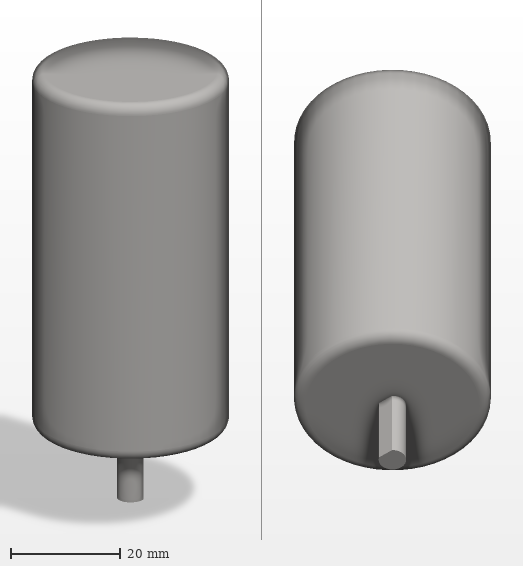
import cadquery as cq

total_height = 84.0
body_diameter = 36.0
body_height = 70.0
edge_radius = 2.0
shaft_diameter = 5.0
flat_depth = 0.5

shaft_length = total_height - body_height

body = (
    cq.Workplane("XY")
    .circle(body_diameter / 2)
    .extrude(body_height)
    .faces("<Z or >Z")
    .edges()
    .fillet(edge_radius)
)

shaft = cq.Workplane("XY").circle(shaft_diameter / 2).extrude(-shaft_length)
flat_cutter = (
    cq.Workplane("XY")
    .center(0, shaft_diameter / 2 - flat_depth / 2)
    .rect(shaft_diameter, flat_depth)
    .extrude(-shaft_length)
)
shaft = shaft.cut(flat_cutter)

result = body.union(shaft)